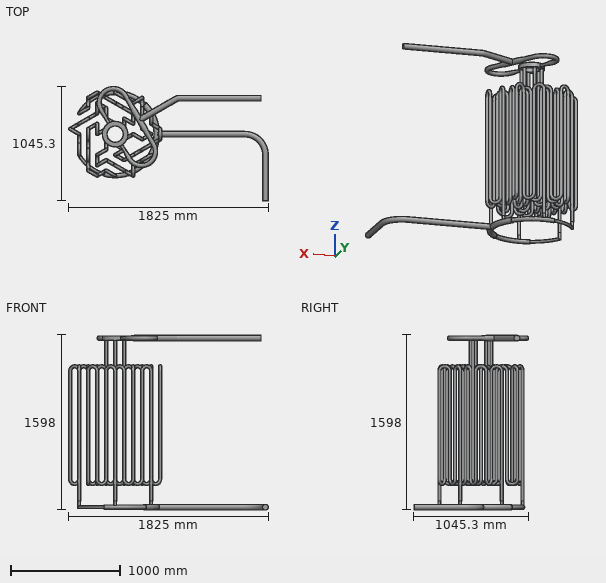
import cadquery as cq
import math

TUBE_DIA = 30.0
STUB_DIA = 27.0
BRANCH_DIA = 40.0
MAIN_DIA = 53.0

PITCH = 95.0
BEND_RADIUS = PITCH / 2
LOWER_BEND_Z = 260.0
UPPER_BEND_Z = 1240.0
STUB_TOP_Z = 55

CIRCUITS = [
    (90, [150, 90, 150, 270, 210, 210, 210, 330, 270, 270]),
    (30, [90, 330, 90, 150, 150, 150, 150, 210, 270, 210]),
]
CIRCUIT_COPIES = 3

HEADER_RADIUS = 4 * PITCH
HEADER_START = 150
HEADER_STEPS = [105, 45]
HEADER_DROPS = [90, 30]

OVERALL_LENGTH = 1825
OUTERMOST_COLUMN = 5
BUNDLE_REACH = OUTERMOST_COLUMN * PITCH * math.cos(math.radians(30)) + TUBE_DIA / 2
OUTLET_X = OVERALL_LENGTH - BUNDLE_REACH - MAIN_DIA / 2
OUTLET_BEND_RADIUS = 190.0
OUTLET_END_Y = -610.0

UPPER_Z = 1545.0
RING_OUTER_DIA = 235.0
RING_INNER_DIA = 146
RING_HEIGHT = BRANCH_DIA
LOOP_WIDTH = 257.0
LOOP_RADIUS = LOOP_WIDTH / 2
LOOP_HALF_LENGTH = LOOP_WIDTH
LOOP_ANGLE = 30
REDUCER_LENGTH = 68.0
ARM_REDUCER_START = 172.0
MAIN_HALF_LENGTH = 88.0

INLET_Y = 329
INLET_END_X = 1332
INLET_BEND_RADIUS = 68.0


def polar(radius, angle, z=0):
    a = math.radians(angle)
    return cq.Vector(radius * math.cos(a), radius * math.sin(a), z)


def pipe(edges, dia):
    """Round bar swept along smoothly connected edges."""
    path = cq.Wire.assembleEdges(edges)
    plane = cq.Plane(origin=edges[0].startPoint(), normal=edges[0].tangentAt(0))
    return cq.Workplane(plane).circle(dia / 2).sweep(path).val()


def straight_pipe(start, end, dia):
    return cq.Solid.makeCylinder(dia / 2, (end - start).Length, start, end - start)


def reducer(start, end, start_dia, end_dia):
    return cq.Solid.makeCone(start_dia / 2, end_dia / 2, (end - start).Length, start, end - start)


def circuit(start_angle, headings):
    """One serpentine tube from the ring down to its stub."""
    place = polar(PITCH, start_angle)
    edges = []
    z = UPPER_Z
    for step, heading in enumerate(headings):
        at_bottom = step % 2 == 0
        bend_z = LOWER_BEND_Z if at_bottom else UPPER_BEND_Z
        crown_z = bend_z - BEND_RADIUS if at_bottom else bend_z + BEND_RADIUS
        following = place + polar(PITCH, heading)
        bend_start = place + cq.Vector(0, 0, bend_z)
        crown = (place + following) * 0.5 + cq.Vector(0, 0, crown_z)
        bend_end = following + cq.Vector(0, 0, bend_z)
        edges.append(cq.Edge.makeLine(place + cq.Vector(0, 0, z), bend_start))
        edges.append(cq.Edge.makeThreePointArc(bend_start, crown, bend_end))
        place = following
        z = bend_z
    last_top = place + cq.Vector(0, 0, z)
    edges.append(cq.Edge.makeLine(last_top, place + cq.Vector(0, 0, STUB_TOP_Z)))
    return pipe(edges, TUBE_DIA)


def header_arc(start_angle, end_angle):
    middle = (start_angle + end_angle) / 2
    return cq.Edge.makeThreePointArc(
        polar(HEADER_RADIUS, start_angle),
        polar(HEADER_RADIUS, middle),
        polar(HEADER_RADIUS, end_angle),
    )


def header_end(end_angle):
    """Narrow header stretch joined to the first stub by a mitred corner."""
    corner = polar(HEADER_RADIUS, HEADER_START)
    along = polar(1, HEADER_START - 90)
    overlap = STUB_DIA
    run = pipe(
        [
            cq.Edge.makeLine(corner - along * overlap, corner),
            header_arc(HEADER_START, end_angle),
        ],
        STUB_DIA,
    )
    stub_top = corner + cq.Vector(0, 0, STUB_TOP_Z)
    stub = straight_pipe(corner - cq.Vector(0, 0, overlap), stub_top, STUB_DIA)

    mitre = cq.Plane(origin=corner, xDir=polar(1, HEADER_START), normal=cq.Vector(0, 0, 1) - along)
    block_size = 4 * STUB_DIA
    stub_side = cq.Workplane(mitre).rect(block_size, block_size).extrude(block_size).val()
    return [run.cut(stub_side), stub.intersect(stub_side)]


def header_half():
    """The +Y arc of the lower header with its three stubs."""
    first_step, second_step = HEADER_STEPS
    parts = header_end(first_step)
    parts.append(pipe([header_arc(first_step, second_step)], BRANCH_DIA))
    parts.append(pipe([header_arc(second_step, 0)], MAIN_DIA))
    for angle in HEADER_DROPS:
        foot = polar(HEADER_RADIUS, angle)
        parts.append(straight_pipe(foot, foot + cq.Vector(0, 0, STUB_TOP_Z), STUB_DIA))
    return parts


def outlet():
    bend_x = OUTLET_X - OUTLET_BEND_RADIUS
    bend_start = cq.Vector(bend_x, 0, 0)
    bend_end = cq.Vector(OUTLET_X, -OUTLET_BEND_RADIUS, 0)
    return pipe(
        [
            cq.Edge.makeLine(cq.Vector(HEADER_RADIUS, 0, 0), bend_start),
            cq.Edge.makeTangentArc(bend_start, cq.Vector(1, 0, 0), bend_end),
            cq.Edge.makeLine(bend_end, cq.Vector(OUTLET_X, OUTLET_END_Y, 0)),
        ],
        MAIN_DIA,
    )


def loop_point(across, along):
    """Point at the upper level, measured across and along the loop from the ring axis."""
    return polar(across, LOOP_ANGLE, UPPER_Z) + polar(along, LOOP_ANGLE + 90)


def loop_half(side):
    """One feed from the middle of the loop's far side round to the ring."""
    wide_end = loop_point(LOOP_WIDTH, side * MAIN_HALF_LENGTH)
    far_reducer_end = loop_point(LOOP_WIDTH, side * (MAIN_HALF_LENGTH + REDUCER_LENGTH))
    bend_start = loop_point(LOOP_WIDTH, side * LOOP_HALF_LENGTH)
    bend_crown = loop_point(LOOP_RADIUS, side * (LOOP_HALF_LENGTH + LOOP_RADIUS))
    bend_end = loop_point(0, side * LOOP_HALF_LENGTH)
    arm_reducer_end = loop_point(0, side * (ARM_REDUCER_START + REDUCER_LENGTH))
    arm_reducer_start = loop_point(0, side * ARM_REDUCER_START)
    ring_wall_radius = (RING_OUTER_DIA + RING_INNER_DIA) / 4
    ring_wall = loop_point(0, side * ring_wall_radius)
    branch = pipe(
        [
            cq.Edge.makeLine(far_reducer_end, bend_start),
            cq.Edge.makeThreePointArc(bend_start, bend_crown, bend_end),
            cq.Edge.makeLine(bend_end, arm_reducer_end),
        ],
        BRANCH_DIA,
    )
    return [
        straight_pipe(loop_point(LOOP_WIDTH, 0), wide_end, MAIN_DIA),
        reducer(wide_end, far_reducer_end, MAIN_DIA, BRANCH_DIA),
        branch,
        reducer(arm_reducer_end, arm_reducer_start, BRANCH_DIA, STUB_DIA),
        straight_pipe(arm_reducer_start, ring_wall, STUB_DIA),
    ]


def inlet():
    corner = cq.Vector(INLET_Y / math.tan(math.radians(LOOP_ANGLE)), INLET_Y, UPPER_Z)
    tangent_length = INLET_BEND_RADIUS * math.tan(math.radians(LOOP_ANGLE / 2))
    bend_start = corner - polar(tangent_length, LOOP_ANGLE)
    bend_end = corner + cq.Vector(tangent_length, 0, 0)
    return pipe(
        [
            cq.Edge.makeLine(loop_point(LOOP_WIDTH, 0), bend_start),
            cq.Edge.makeTangentArc(bend_start, polar(1, LOOP_ANGLE), bend_end),
            cq.Edge.makeLine(bend_end, cq.Vector(INLET_END_X, INLET_Y, UPPER_Z)),
        ],
        MAIN_DIA,
    )


def ring():
    return (
        cq.Workplane(origin=(0, 0, UPPER_Z - RING_HEIGHT / 2))
        .circle(RING_OUTER_DIA / 2)
        .circle(RING_INNER_DIA / 2)
        .extrude(RING_HEIGHT)
        .val()
    )


parts = [outlet(), inlet()]
for half_part in header_half():
    parts.append(half_part)
    parts.append(half_part.mirror("XZ"))
for side in (1, -1):
    parts.extend(loop_half(side))
for start_angle, headings in CIRCUITS:
    for copy in range(CIRCUIT_COPIES):
        turn = copy * 360 / CIRCUIT_COPIES
        parts.append(circuit(start_angle + turn, [heading + turn for heading in headings]))

result = cq.Workplane(ring().fuse(*parts))